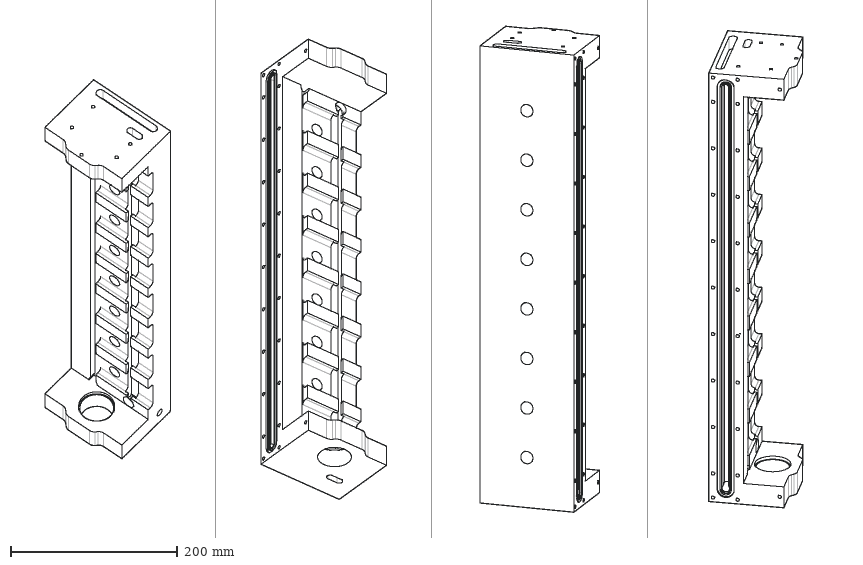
import cadquery as cq


WIDTH = 120.0
HEIGHT = 572.0
WALL_DEPTH = 42.5
ARM_DEPTH = 92.0
ARM_THICKNESS = 28.0
NOSE_HEIGHT = 8.0
NOSE_HALF_WIDTH = 24.0
NOSE_BLEND = 9.0
HALF_HEIGHT = HEIGHT / 2
INNER_HALF_HEIGHT = HALF_HEIGHT - ARM_THICKNESS

SCREW_ROWS = 9
SCREW_SPAN = 496.0
PITCH = SCREW_SPAN / (SCREW_ROWS - 1)
POCKET_COUNT = 8

RECESS_LEFT = -30.5
RECESS_DEPTH = 9.0
FLOOR_DEPTH = WALL_DEPTH - RECESS_DEPTH
PAD_LEFT = -22.0
POCKET_HEIGHT = 43.5
POCKET_FILLET = 5.0
RELIEF_DIAMETER = 12.5
RELIEF_OFFSET = 1.0
PORT_DIAMETER = 15.5
PORT_DROP = 6.5

CHANNEL_X = 29.0
CHANNEL_WIDTH = 16.0
CHANNEL_FLOOR = 27.0
CHANNEL_ROOF = 38.5
NECK_WIDTH = 7.0
ENTRY_DIAMETER = 16.0
ENTRY_OFFSET = 8.0
ENTRY_HALF_SPAN = INNER_HALF_HEIGHT - ENTRY_OFFSET
END_SLOT_LENGTH = 22.5
END_SLOT_WIDTH = 8.5
END_SLOT_Y = -30.5
END_SLOT_FRONT = END_SLOT_WIDTH / 2 - END_SLOT_Y

TOP_SLOT_LENGTH = 92.5
TOP_SLOT_WIDTH = 10.5
TOP_SLOT_Y = -10.5
TOP_SLOT_DEPTH = 17.0

GROOVE_Y = -20.5
GROOVE_END_OFFSET = 18.0
SEAL_OUTER_WIDTH = 20.5
SEAL_INNER_WIDTH = 14.0
SEAL_DEPTH = 2.5
GROOVE_MOUTH_WIDTH = 10.5
GROOVE_MOUTH_DEPTH = 2.0
GROOVE_WIDTH = 7.0
GROOVE_DEPTH = 11.5
CROSS_HOLE_DIAMETER = 9.0
CROSS_HOLE_OFFSET = 19.0

BORE_Y = -67.0
BORE_DIAMETER = 40.5
SEAT_DIAMETER = 43.5
SEAT_DEPTH = 4.0

SCREW_DIAMETER = 4.0
SCREW_DEPTH = 11.5
SIDE_SCREW_YS = (-5.0, -35.5)
SIDE_SCREW_END_OFFSET = 6.0
ARM_SCREW_Y = -87.0
ARM_SCREW_END_OFFSET = 14.5
TOP_SCREWS = ((-35.0, -31.5), (-35.0, -71.5), (35.0, -46.0), (35.0, -71.5), (0, -95.5))


def box(x_min, x_max, y_min, y_max, z_min, z_max):
    size = (x_max - x_min, y_max - y_min, z_max - z_min)
    return cq.Workplane("XY").box(*size, centered=False).translate((x_min, y_min, z_min))


def cylinder_z(x, y, diameter, z_min, z_max):
    return cq.Workplane("XY", origin=(x, y, z_min)).circle(diameter / 2).extrude(z_max - z_min)


def cylinder_y(x, z, diameter, y_front, y_back):
    plane = cq.Workplane("XZ", origin=(x, y_back, z))
    return plane.circle(diameter / 2).extrude(y_back - y_front)


def cylinder_x(y, z, diameter, length):
    """Cylinder running inward from the left face."""
    return cq.Workplane("YZ", origin=(-WIDTH / 2, y, z)).circle(diameter / 2).extrude(length)


def left_face_slot(width, depth):
    """Vertical round-ended slot cut inward from the left face."""
    arc_centre_span = HEIGHT - 2 * GROOVE_END_OFFSET
    plane = cq.Workplane("YZ", origin=(-WIDTH / 2, GROOVE_Y, 0))
    return plane.slot2D(arc_centre_span + width, width, 90).extrude(depth)


def arm(z_min):
    foot = NOSE_HALF_WIDTH + NOSE_HEIGHT / 2
    tip = NOSE_HALF_WIDTH - NOSE_HEIGHT / 2
    nose_front = ARM_DEPTH + NOSE_HEIGHT
    outline = [
        (-WIDTH / 2, 0), (-WIDTH / 2, -ARM_DEPTH), (-foot, -ARM_DEPTH), (-tip, -nose_front),
        (tip, -nose_front), (foot, -ARM_DEPTH), (WIDTH / 2, -ARM_DEPTH), (WIDTH / 2, 0),
    ]
    blank = cq.Workplane("XY", origin=(0, 0, z_min)).polyline(outline).close().extrude(ARM_THICKNESS)
    margin = 0.5
    nose_corners = cq.selectors.BoxSelector(
        (-foot - margin, -nose_front - margin, z_min),
        (foot + margin, -ARM_DEPTH + margin, z_min + ARM_THICKNESS),
    )
    return blank.edges("|Z").edges(nose_corners).fillet(NOSE_BLEND)


def pocket(z):
    """Space between two pads, with rounded floor corners."""
    half_height = POCKET_HEIGHT / 2
    blank = box(PAD_LEFT, WIDTH / 2, -WALL_DEPTH, -FLOOR_DEPTH, z - half_height, z + half_height)
    return blank.edges("|X and >Y").fillet(POCKET_FILLET)


wall = box(-WIDTH / 2, WIDTH / 2, -WALL_DEPTH, 0, -HALF_HEIGHT, HALF_HEIGHT)
result = wall.union(arm(-HALF_HEIGHT)).union(arm(INNER_HALF_HEIGHT))

recess = box(RECESS_LEFT, PAD_LEFT, -WALL_DEPTH, -FLOOR_DEPTH, -INNER_HALF_HEIGHT, INNER_HALF_HEIGHT)
inner_zone = box(-WIDTH / 2, WIDTH / 2, -WALL_DEPTH, 0, -INNER_HALF_HEIGHT, INNER_HALF_HEIGHT)
relief_x = (RECESS_LEFT + PAD_LEFT) / 2
for end in (-1, 1):
    relief_z = end * (INNER_HALF_HEIGHT - RELIEF_OFFSET)
    relief = cylinder_y(relief_x, relief_z, RELIEF_DIAMETER, -WALL_DEPTH, -FLOOR_DEPTH)
    recess = recess.union(relief.intersect(inner_zone))
result = result.cut(recess)

for index in range(POCKET_COUNT):
    pocket_z = (index - (POCKET_COUNT - 1) / 2) * PITCH
    result = result.cut(pocket(pocket_z))
    result = result.cut(cylinder_y(0, pocket_z - PORT_DROP, PORT_DIAMETER, -WALL_DEPTH, 0))

channel_sections = (
    (CHANNEL_WIDTH, CHANNEL_ROOF, ENTRY_HALF_SPAN),
    (NECK_WIDTH, WALL_DEPTH, ENTRY_HALF_SPAN),
    (CHANNEL_WIDTH, END_SLOT_FRONT, INNER_HALF_HEIGHT),
)
for width, front, half_span in channel_sections:
    half_width = width / 2
    result = result.cut(box(
        CHANNEL_X - half_width, CHANNEL_X + half_width, -front, -CHANNEL_FLOOR, -half_span, half_span,
    ))
for end in (-1, 1):
    entry_z = end * ENTRY_HALF_SPAN
    result = result.cut(cylinder_y(CHANNEL_X, entry_z, ENTRY_DIAMETER, -WALL_DEPTH, -CHANNEL_FLOOR))
for z_min in (-HALF_HEIGHT, INNER_HALF_HEIGHT):
    plane = cq.Workplane("XY", origin=(CHANNEL_X, END_SLOT_Y, z_min))
    result = result.cut(plane.slot2D(END_SLOT_LENGTH, END_SLOT_WIDTH).extrude(ARM_THICKNESS))

top_plane = cq.Workplane("XY", origin=(0, TOP_SLOT_Y, HALF_HEIGHT))
result = result.cut(top_plane.slot2D(TOP_SLOT_LENGTH, TOP_SLOT_WIDTH).extrude(-TOP_SLOT_DEPTH))

seal_ring = left_face_slot(SEAL_OUTER_WIDTH, SEAL_DEPTH).cut(left_face_slot(SEAL_INNER_WIDTH, SEAL_DEPTH))
result = result.cut(seal_ring)
result = result.cut(left_face_slot(GROOVE_MOUTH_WIDTH, GROOVE_MOUTH_DEPTH))
result = result.cut(left_face_slot(GROOVE_WIDTH, GROOVE_DEPTH))
result = result.cut(cylinder_x(GROOVE_Y, CROSS_HOLE_OFFSET - HALF_HEIGHT, CROSS_HOLE_DIAMETER, WIDTH))

result = result.cut(cylinder_z(0, BORE_Y, BORE_DIAMETER, -HALF_HEIGHT, -INNER_HALF_HEIGHT))
seat_floor = -INNER_HALF_HEIGHT - SEAT_DEPTH
result = result.cut(cylinder_z(0, BORE_Y, SEAT_DIAMETER, seat_floor, -INNER_HALF_HEIGHT))

side_screw_zs = [(row - (SCREW_ROWS - 1) / 2) * PITCH for row in range(SCREW_ROWS)]
for end in (-1, 1):
    side_screw_zs.append(end * (HALF_HEIGHT - SIDE_SCREW_END_OFFSET))
side_screws = [(y, z) for y in SIDE_SCREW_YS for z in side_screw_zs]
for end in (-1, 1):
    side_screws.append((ARM_SCREW_Y, end * (HALF_HEIGHT - ARM_SCREW_END_OFFSET)))
for y, z in side_screws:
    result = result.cut(cylinder_x(y, z, SCREW_DIAMETER, SCREW_DEPTH))

for x, y in TOP_SCREWS:
    result = result.cut(cylinder_z(x, y, SCREW_DIAMETER, HALF_HEIGHT - SCREW_DEPTH, HALF_HEIGHT))